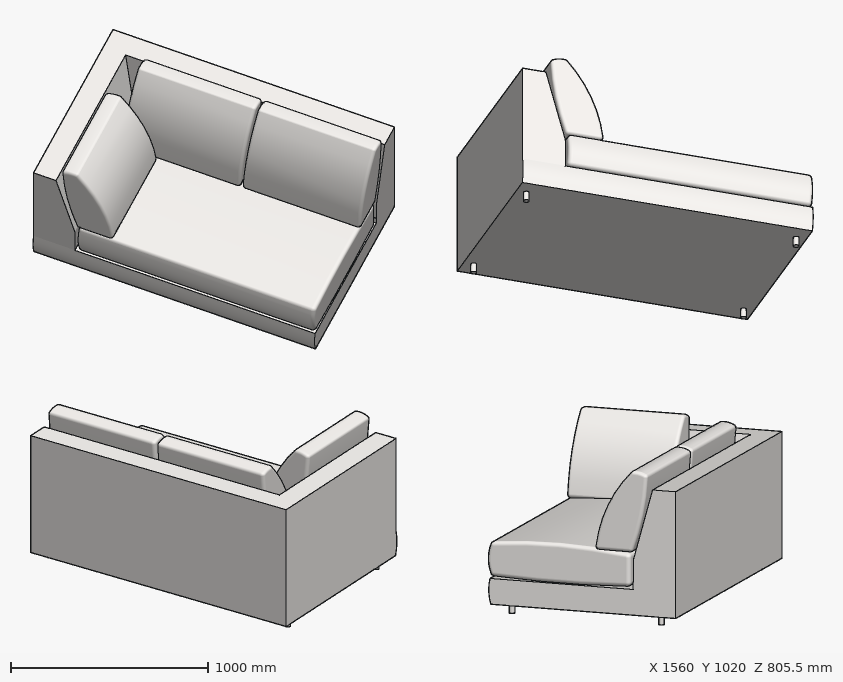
import cadquery as cq
import math


frame_length = 1560.0
frame_depth = 1005.0
leg_height = 48.0
base_top = 183.0
arm_joint_height = 334.0
frame_top = 707.0
wall_top_thickness = 125.0
wall_foot_thickness = 230.0
base_front_bulge = 10.0
base_bottom_setback = 5.0

ledge_height = 39.0
ledge_depth = 2.0

leg_diameter = 30.0
leg_x_inset = 55.0
leg_rear_inset = 97.0
leg_front_inset = 100.0

seat_round = 22.0
cushion_round = 19.0
seat_gap = 17.0
seat_bottom = 193.0
seat_front_top = 371.0
seat_rear_top = 362.0
seat_front = 1000.0
seat_front_bulge = 20.0
seat_crown = 23.0
seat_sag = seat_bottom - base_top

back_cushion_gap = 11.0
back_cushion_start = 242.0
cushion_bottom = 373.0
side_cushion_offset = 2.0
side_cushion_extra = 11.0

profile_foot = 239.0
profile_toe = 438.0
profile_back_top = (155.0, 402.0)
profile_front_top = (239.0, 420.0)
profile_back_bulge = 17.0
profile_top_bulge = 8.0
profile_front_bulge = 40.0

side_cushion_rear = profile_toe


def bulged_point(start, end, bulge):
    """Middle of an arc from start to end that bulges to the left of that direction."""
    dx = end[0] - start[0]
    dy = end[1] - start[1]
    length = math.hypot(dx, dy)
    return (
        (start[0] + end[0]) / 2 - dy / length * bulge,
        (start[1] + end[1]) / 2 + dx / length * bulge,
    )


def bulged_outline(plane, corners, bulges):
    """Closed outline, clockwise, whose side i leaves corner i; a bulge of 0 gives a straight side."""
    outline = cq.Workplane(plane).moveTo(*corners[0])
    for i, bulge in enumerate(bulges):
        start = corners[i]
        end = corners[(i + 1) % len(corners)]
        if bulge:
            outline = outline.threePointArc(bulged_point(start, end, bulge), end)
        elif i < len(bulges) - 1:
            outline = outline.lineTo(*end)
    return outline.close()


def make_frame():
    """Base with back, the two parts of the arm and the ledge, fused with their seams kept."""
    front_top = (-frame_depth, base_top)
    front_bottom = (-frame_depth + base_bottom_setback, leg_height)
    base_and_back = (
        cq.Workplane("YZ")
        .moveTo(0, leg_height)
        .lineTo(0, frame_top)
        .lineTo(-wall_top_thickness, frame_top)
        .lineTo(-wall_foot_thickness, arm_joint_height)
        .lineTo(-wall_foot_thickness, base_top)
        .lineTo(*front_top)
        .threePointArc(bulged_point(front_bottom, front_top, base_front_bulge), front_bottom)
        .close()
        .extrude(frame_length)
    )
    arm_length = frame_depth - wall_foot_thickness
    arm_lower = cq.Workplane("XY").box(
        wall_foot_thickness, arm_length, arm_joint_height - base_top, centered=False
    ).translate((0, -frame_depth, base_top))
    arm_upper = (
        cq.Workplane("XZ")
        .polyline([
            (0, arm_joint_height),
            (0, frame_top),
            (wall_top_thickness, frame_top),
            (wall_foot_thickness, arm_joint_height),
        ])
        .close()
        .extrude(frame_depth)
        .cut(base_and_back)
    )
    ledge = cq.Workplane("XY").box(
        frame_length - wall_foot_thickness, ledge_depth, ledge_height, centered=False
    ).translate((wall_foot_thickness, -wall_foot_thickness - ledge_depth, base_top))
    frame = base_and_back
    for part in (arm_lower, arm_upper, ledge):
        frame = frame.union(part, clean=False)
    return frame


def make_legs():
    """Four round legs under the corners of the base."""
    places = [
        (x, y)
        for x in (leg_x_inset, frame_length - leg_x_inset)
        for y in (-leg_rear_inset, -frame_depth + leg_front_inset)
    ]
    return [
        cq.Workplane("XY").center(x, y).circle(leg_diameter / 2).extrude(leg_height)
        for x, y in places
    ]


def make_seat_cushion():
    """Crowned seat cushion filling the space between arm and open end."""
    left = wall_foot_thickness + seat_gap
    rear = -wall_foot_thickness - seat_gap
    corners = [
        (-seat_front, seat_bottom),
        (-seat_front, seat_front_top),
        (rear, seat_rear_top),
        (rear, seat_bottom),
    ]
    bulges = [seat_front_bulge, seat_crown, 0, seat_sag]
    cushion = bulged_outline("YZ", corners, bulges).extrude(frame_length - left)
    return cushion.edges().fillet(seat_round).translate((left, 0, 0))


def make_loose_cushion(length, extra_height=0):
    """Leaning cushion along -Y from Y = 0, with its outer wall plane at X = 0 and bottom at Z = 0."""
    corners = [
        (profile_foot, 0),
        (profile_back_top[0], profile_back_top[1] + extra_height),
        (profile_front_top[0], profile_front_top[1] + extra_height),
        (profile_toe, 0),
    ]
    bulges = [profile_back_bulge, profile_top_bulge, profile_front_bulge, 0]
    cushion = bulged_outline("XZ", corners, bulges).extrude(length)
    return cushion.edges().fillet(cushion_round)


def make_side_cushion(seat):
    """Cushion leaning on the arm, its underside shaped by the seat."""
    cushion = make_loose_cushion(frame_depth - side_cushion_rear, side_cushion_extra)
    cushion = cushion.translate((side_cushion_offset, -side_cushion_rear, cushion_bottom))
    return cushion.cut(seat)


def make_back_cushions(seat):
    """Two equal cushions leaning on the back, their undersides shaped by the seat."""
    length = (frame_length - back_cushion_start - back_cushion_gap) / 2
    cushion = make_loose_cushion(length).rotate((0, 0, 0), (0, 0, 1), -90)
    right_ends = [back_cushion_start + length, frame_length]
    return [cushion.translate((x, 0, cushion_bottom)).cut(seat) for x in right_ends]


frame = make_frame()
legs = make_legs()
seat_cushion = make_seat_cushion()
side_cushion = make_side_cushion(seat_cushion)
back_cushions = make_back_cushions(seat_cushion)

result = cq.Compound.makeCompound([
    frame.val(),
    *[leg.val() for leg in legs],
    seat_cushion.val(),
    side_cushion.val(),
    *[cushion.val() for cushion in back_cushions],
])